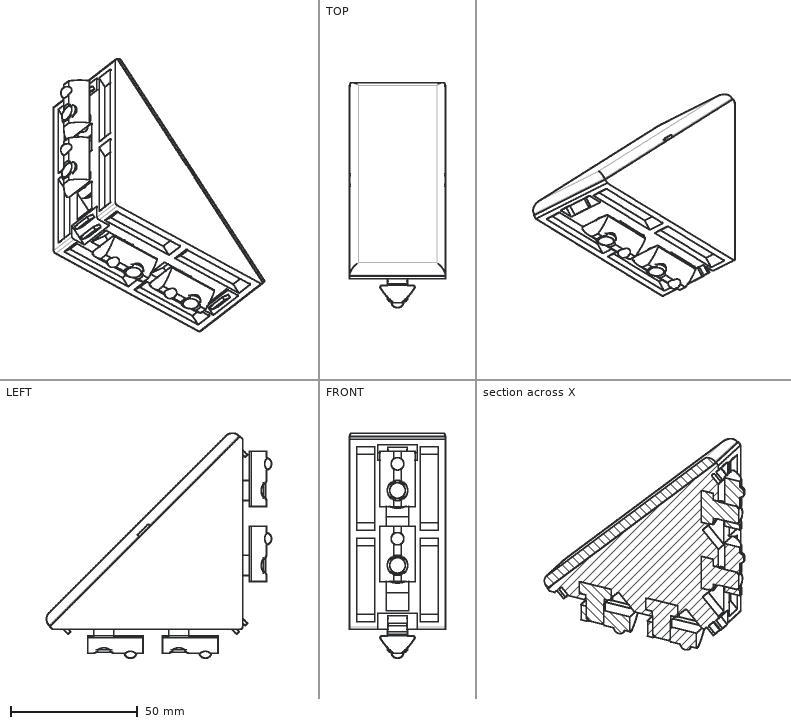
import cadquery as cq
import math


width = 38.0
leg = 75.0
slope_intercept = 77.2
corner_radius = 1.0

pocket_width = 7.0
pocket_offset = 12.5
pocket_length = 33.0
pocket_depth = 3.0
pocket_centers = (19.5, 55.5)

slot_width = 9.0
slot_depth = 7.0
slot_centers = (14.4, 44.4)

recess_width = 15.4
recess_half_length = 3.1
recess_center = 69.7
corner_recess = 6.4
tab_width = 7.6
tab_thickness = math.sqrt(2)
tab_length = 4.15
corner_tab_offset = 3.3

cap_inset = 0.2
cap_thickness = 4.05
cap_radius = 3.4
pry_length = 6.0
pry_height = 1.1
pry_depth = 5.0

bolt_positions = (25.25, 54.75)
bolt_diameter = 8.0
bolt_tip_diameter = 6.1
bolt_tip_height = 9.05
head_diameter = 14.0
head_thickness = 5.0
head_seat_depth = 2.5

nut_gap = 2.5
nut_height = 6.9
nut_half_width = 6.9
nut_nose_half_width = 1.5
nut_corner_radius = 0.8
nut_flank_bulge = 0.45
nut_length = 21.9
nut_short_end = 6.4
ball_radius = 2.5
ball_offset = 10.5
ball_tip_height = 11.38
nut_bore_diameter = 6.65


def prism(points, x_size, x_center=0.0):
    """Extrude an outline of (y, z) points along X, centred on x_center."""
    outline = cq.Workplane("YZ", origin=(x_center, 0, 0)).polyline(points).close()
    return outline.extrude(x_size / 2, both=True)


def swapped(points):
    """Mirror (y, z) points in the plane Y = Z."""
    return [(z, y) for y, z in points]


def pocket_outline(center):
    """Trapezoid with 45 degree ends."""
    half = pocket_length / 2
    floor_half = half - pocket_depth
    return [
        (0, center - half),
        (pocket_depth, center - floor_half),
        (pocket_depth, center + floor_half),
        (0, center + half),
    ]


def notch_outline(center, depth):
    """Right-angled V open towards the mounting face."""
    return [(0, center - depth), (depth, center), (0, center + depth)]


def tab_outline(root_sum, offset):
    """45 degree strip starting on the plane Y + Z = root_sum, with middle line Z - Y = offset."""
    half = tab_thickness / math.sqrt(2)
    tip_sum = root_sum - tab_length * math.sqrt(2)
    corners = (
        (root_sum, offset - half),
        (root_sum, offset + half),
        (tip_sum, offset + half),
        (tip_sum, offset - half),
    )
    return [((total - diff) / 2, (total + diff) / 2) for total, diff in corners]


def make_bolt():
    chamfer = (bolt_diameter - bolt_tip_diameter) / 2
    shank = (
        cq.Workplane("XY", origin=(0, 0, -head_seat_depth))
        .circle(bolt_diameter / 2)
        .extrude(head_seat_depth + bolt_tip_height)
        .faces(">Z")
        .chamfer(chamfer)
    )
    head = (
        cq.Workplane("XY", origin=(0, 0, -head_seat_depth))
        .circle(head_diameter / 2)
        .extrude(-head_thickness)
    )
    return shank.union(head)


def make_nut():
    base = nut_gap
    nose = base + nut_height
    edge = base + nut_corner_radius
    flat_half = nut_half_width - nut_corner_radius
    flank_x = nut_half_width - nut_nose_half_width
    flank_z = nose - edge
    flank_length = math.hypot(flank_x, flank_z)
    mid_x = (nut_half_width + nut_nose_half_width) / 2 + nut_flank_bulge * flank_z / flank_length
    mid_z = (edge + nose) / 2 + nut_flank_bulge * flank_x / flank_length
    arc_x = flat_half + nut_corner_radius / math.sqrt(2)
    arc_z = edge - nut_corner_radius / math.sqrt(2)
    body = (
        cq.Workplane("XZ", origin=(0, -nut_short_end, 0))
        .moveTo(-flat_half, base)
        .lineTo(flat_half, base)
        .threePointArc((arc_x, arc_z), (nut_half_width, edge))
        .threePointArc((mid_x, mid_z), (nut_nose_half_width, nose))
        .lineTo(-nut_nose_half_width, nose)
        .threePointArc((-mid_x, mid_z), (-nut_half_width, edge))
        .threePointArc((-arc_x, arc_z), (-flat_half, base))
        .close()
        .extrude(-nut_length)
    )
    ball = cq.Workplane("XY").sphere(ball_radius)
    ball = ball.translate((0, ball_offset, ball_tip_height - ball_radius))
    bore = cq.Workplane("XY").circle(nut_bore_diameter / 2).extrude(nose)
    countersink_depth = (bolt_diameter - nut_bore_diameter) / 2
    countersink = (
        cq.Workplane("XY", origin=(0, 0, nose))
        .circle(bolt_diameter / 2)
        .extrude(-countersink_depth, taper=45)
    )
    return body.union(ball).cut(bore).cut(countersink).cut(make_bolt())


def on_front(body, position):
    """Place a fastener on the Y = 0 face, long nut end up."""
    return body.rotate((0, 0, 0), (1, 0, 0), 90).translate((0, 0, position))


def on_bottom(body, position):
    """Place a fastener on the Z = 0 face, long nut end towards the corner."""
    return body.rotate((0, 0, 0), (1, 0, 0), 180).translate((0, position, 0))


bolts = []
nuts = []
for place in (on_front, on_bottom):
    for position in bolt_positions:
        bolts.append(place(make_bolt(), position))
        nuts.append(place(make_nut(), position))


def make_bracket():
    end_y = (slope_intercept - leg) / 2
    end_z = (slope_intercept + leg) / 2
    body = prism([(0, 0), (0, leg), (end_y, end_z), (end_z, end_y), (leg, 0)], width)
    body = body.edges("<Y and <Z").fillet(corner_radius)

    cuts = []
    for center in pocket_centers:
        for side in (-1, 1):
            cuts.append((pocket_outline(center), pocket_width, side * pocket_offset))
    for center in slot_centers:
        cuts.append((notch_outline(center, slot_depth), slot_width, 0))
    cuts.append((notch_outline(recess_center, recess_half_length), recess_width, 0))
    for outline, x_size, x_center in cuts:
        body = body.cut(prism(outline, x_size, x_center))
        body = body.cut(prism(swapped(outline), x_size, x_center))
    body = body.cut(prism([(0, 0), (corner_recess, 0), (0, corner_recess)], recess_width))

    tabs = (
        tab_outline(recess_center + recess_half_length, recess_center),
        tab_outline(corner_recess, corner_tab_offset),
    )
    for outline in tabs:
        body = body.union(prism(outline, tab_width))
        body = body.union(prism(swapped(outline), tab_width))

    for bolt in bolts:
        body = body.cut(bolt)
    return body


def make_cap():
    seam = slope_intercept / 2
    slope = cq.Plane(origin=(0, seam, seam), xDir=(1, 0, 0), normal=(0, 1, 1))
    cap_width = width - 2 * cap_inset
    cap_length = leg * math.sqrt(2) - 2 * cap_inset
    body = (
        cq.Workplane(slope)
        .rect(cap_width, cap_length)
        .extrude(cap_thickness)
        .faces(cq.selectors.DirectionMinMaxSelector(cq.Vector(0, 1, 1)))
        .edges()
        .fillet(cap_radius)
    )
    pry_slots = (
        cq.Workplane(slope)
        .pushPoints([(-cap_width / 2, 0), (cap_width / 2, 0)])
        .rect(2 * pry_depth, pry_length)
        .extrude(pry_height)
    )
    return body.cut(pry_slots)


bracket = make_bracket()
cap = make_cap()

result = cq.Compound.makeCompound(
    [bracket.val(), cap.val()]
    + [bolt.val() for bolt in bolts]
    + [nut.val() for nut in nuts]
)